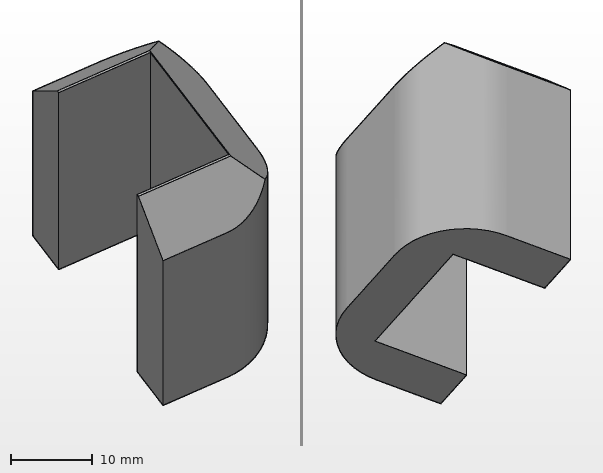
import cadquery as cq

width = 31.75
depth = 19.05
height = 33.0

side_wall = 6.35
back_wall = 6.1
corner_radius = 10.0
bevel = 6.0

half_width = width / 2
half_depth = depth / 2
channel_width = width - 2 * side_wall
channel_depth = depth - back_wall


def make_channel_body():
    """Upright block with two round back corners and a channel open to the front."""
    block = cq.Workplane("XY").box(width, depth, height, centered=(True, True, False))
    block = block.edges("|Z and >Y").fillet(corner_radius)
    channel = (
        cq.Workplane("XY")
        .center(0, -half_depth + channel_depth / 2)
        .rect(channel_width, channel_depth)
        .extrude(height)
    )
    return block.cut(channel)


def make_bevel_cutter(plane, outer, inward, length):
    """Triangular prism that bevels the top edge at `outer` on the given plane."""
    return (
        cq.Workplane(plane)
        .moveTo(outer, height)
        .lineTo(outer + inward * bevel, height)
        .lineTo(outer, height - bevel)
        .close()
        .extrude(length / 2, both=True)
    )


result = make_channel_body()

for side in (-1, 1):
    result = result.cut(make_bevel_cutter("XZ", side * half_width, -side, depth))

result = result.cut(make_bevel_cutter("YZ", half_depth, -1, width))